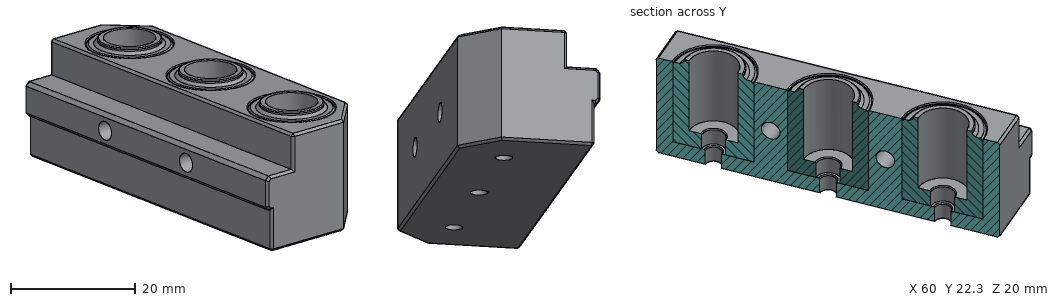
import cadquery as cq

length = 60.0
depth = 22.25
block_height = 19.0
riser_depth = 16.8
lower_depth = 21.3
ledge_height = 12.95
nose_bottom = 7.1
corner_cut = 6.0
nose_chamfer = 0.65
edge_chamfer = 0.4

cross_hole_diameter = 3.2
cross_hole_height = 10.0

bushing_count = 3
bushing_pitch = length / bushing_count
bushing_to_back = 8.45
pocket_mouth_diameter = 14.4
hole_chamfer = 0.2
bushing_diameter = pocket_mouth_diameter - 2 * hole_chamfer
bushing_chamfer = 0.35
overall_height = 20.0
rim_height = overall_height - block_height
rim_diameter = 10.45
rim_band_height = 0.5
rim_chamfer = 0.2
rim_cone_height = rim_height - rim_band_height
rim_base_diameter = 11.6
bore_diameter = 8.45
pocket_floor = 3.0
bore_floor_thickness = 3.0
bushing_hole_diameter = 4.1
drain_hole_diameter = 2.8

back_y = depth / 2
front_y = -depth / 2
bushing_y = back_y - bushing_to_back
bushing_xs = [(i - (bushing_count - 1) / 2) * bushing_pitch for i in range(bushing_count)]
cross_hole_xs = [(left + right) / 2 for left, right in zip(bushing_xs, bushing_xs[1:])]


def revolve_about_z(half_section):
    return cq.Workplane("XZ").polyline(half_section).close().revolve(360, (0, 0), (0, 1))


def make_block():
    """Stepped section swept along X, with cut back corners and chamfered edges."""
    riser_y = back_y - riser_depth
    lower_y = back_y - lower_depth
    section = [
        (back_y, 0),
        (lower_y, 0),
        (lower_y, nose_bottom),
        (front_y + nose_chamfer, nose_bottom),
        (front_y, nose_bottom + nose_chamfer),
        (front_y, ledge_height - nose_chamfer),
        (front_y + nose_chamfer, ledge_height),
        (riser_y, ledge_height),
        (riser_y, block_height),
        (back_y, block_height),
    ]
    block = cq.Workplane("YZ").polyline(section).close().extrude(length / 2, both=True)

    block = block.edges("|Z and >Y").chamfer(corner_cut)

    front_of_cuts = back_y - corner_cut - edge_chamfer
    end_edges = block.faces("<X or >X").edges().filter(lambda edge: edge.Center().y < front_of_cuts)
    flat_edges = block.faces("<Z or >Z").edges()
    return block.newObject(list(set(end_edges.vals() + flat_edges.vals()))).chamfer(edge_chamfer)


def make_pocket():
    """Bushing pocket and drain hole on the Z axis, revolved from (radius, height), to cut away."""
    pocket_radius = bushing_diameter / 2
    drain_radius = drain_hole_diameter / 2
    half_section = [
        (0, 0),
        (drain_radius, 0),
        (drain_radius, pocket_floor - hole_chamfer),
        (drain_radius + hole_chamfer, pocket_floor),
        (pocket_radius, pocket_floor),
        (pocket_radius, block_height - hole_chamfer),
        (pocket_radius + hole_chamfer, block_height),
        (0, block_height),
    ]
    return revolve_about_z(half_section)


def make_housing():
    housing = make_block()
    pocket = make_pocket()
    for x in bushing_xs:
        housing = housing.cut(pocket.translate((x, bushing_y, 0)))
    cross_holes = (
        cq.Workplane("XZ", origin=(0, back_y, 0))
        .pushPoints([(x, cross_hole_height) for x in cross_hole_xs])
        .circle(cross_hole_diameter / 2)
        .extrude(depth)
    )
    return housing.cut(cross_holes)


def make_bushing():
    """Cup on the Z axis, revolved from its half section given as (radius, height)."""
    outer_radius = bushing_diameter / 2
    rim_radius = rim_diameter / 2
    bore_radius = bore_diameter / 2
    hole_radius = bushing_hole_diameter / 2
    bore_floor = pocket_floor + bore_floor_thickness
    half_section = [
        (hole_radius, pocket_floor),
        (outer_radius, pocket_floor),
        (outer_radius, block_height - bushing_chamfer),
        (outer_radius - bushing_chamfer, block_height),
        (rim_base_diameter / 2, block_height),
        (rim_radius, block_height + rim_cone_height),
        (rim_radius, overall_height - rim_chamfer),
        (rim_radius - rim_chamfer, overall_height),
        (bore_radius, overall_height),
        (bore_radius, bore_floor),
        (hole_radius + hole_chamfer, bore_floor),
        (hole_radius, bore_floor - hole_chamfer),
    ]
    return revolve_about_z(half_section)


housing = make_housing()
bushing = make_bushing()
bushings = [bushing.translate((x, bushing_y, 0)) for x in bushing_xs]

result = cq.Compound.makeCompound([housing.val(), *[copy.val() for copy in bushings]])